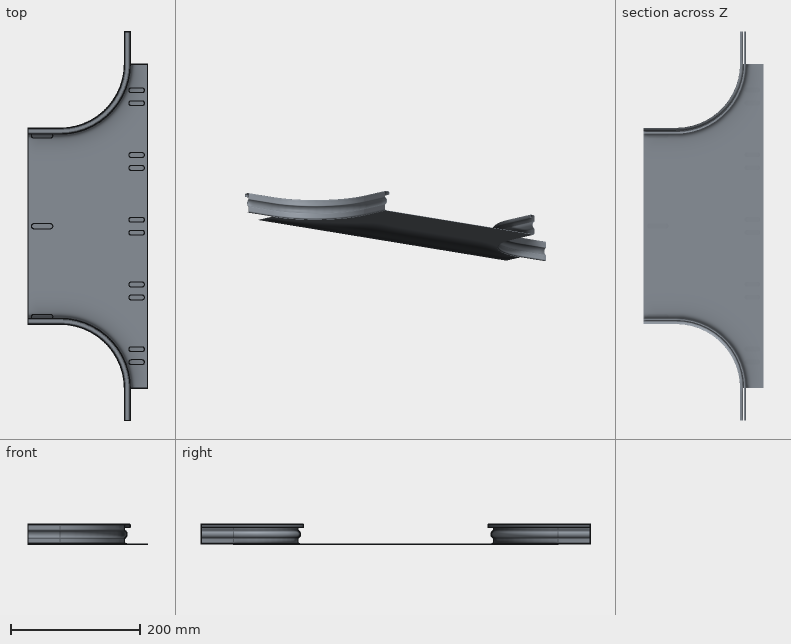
import cadquery as cq
import math

plate_depth = 185.0
overall_length = 601.0
overall_height = 31.1
sheet = 0.6
rail_bottom = sheet

straight_length = 50.0
bend_radius = 99.0
bend_x = straight_length
bend_y = overall_length / 2 - straight_length

flange_width = 3.0
rail_width = 9.3
corner_radius = 2.0
lip_bottom = 25.6
lip_return = 3.0
groove_depth = 3.8
groove_radius = 6.0
groove_edge_radius = 1.2
groove_z = 15.4
touching = 1e-6

slot_depth = sheet / 2
branch_slot_length = 33.0
branch_slot_width = 8.0
branch_slot_x = 22.0
branch_slot_pitch = 140.0
run_slot_length = 24.0
run_slot_width = 7.5
run_slot_x = 168.0
run_slot_gap = 20.0
run_pair_pitch = 100.0
run_pair_count = 5


def on_circle(center, radius, degrees):
    """Point on a circle in a direction given in degrees."""
    angle = math.radians(degrees)
    return (center[0] + radius * math.cos(angle), center[1] + radius * math.sin(angle))


def arc(center, radius, start, end):
    """Start, middle and end point of an arc between two directions in degrees."""
    return [on_circle(center, radius, degrees) for degrees in (start, (start + end) / 2, end)]


def rail_face(depth):
    """Arcs and end points of the rail skin lying at a depth below its outer face.

    Points are (distance from the bend axis, Z), from the floor flange up to the lip.
    """
    wall = bend_radius
    left = wall + corner_radius
    right = wall + rail_width - corner_radius
    low = rail_bottom + corner_radius
    curl = lip_bottom + corner_radius
    high = overall_height - corner_radius
    corner = corner_radius - depth

    groove_center = wall + groove_depth - groove_radius
    edge_center = wall + groove_edge_radius
    reach = groove_radius + groove_edge_radius
    touch = math.degrees(math.acos((edge_center - groove_center) / reach))
    edge_rise = reach * math.sin(math.radians(touch))
    groove = groove_radius + depth
    edge = groove_edge_radius - depth

    arcs = [
        arc((left, low), corner, 270, 180),
        arc((edge_center, groove_z - edge_rise), edge, 180, 180 - touch),
        arc((groove_center, groove_z), groove, -touch, touch),
        arc((edge_center, groove_z + edge_rise), edge, 180 + touch, 180),
        arc((left, high), corner, 180, 90),
        arc((right, high), corner, 90, 0),
        arc((right, curl), corner, 0, -90),
    ]
    flange_end = (wall + flange_width, rail_bottom + depth)
    lip_end = (wall + rail_width - lip_return, lip_bottom + depth)
    return flange_end, arcs, lip_end


def rail_section():
    """Closed outline of the bent sheet: up along the outer face, back along the inner one."""
    flange_end, outer_arcs, lip_end = rail_face(0)
    inner_flange_end, inner_arcs, inner_lip_end = rail_face(sheet)
    stretches = [[flange_end]] + outer_arcs + [[lip_end], [inner_lip_end]]
    stretches += [inner_arc[::-1] for inner_arc in reversed(inner_arcs)] + [[inner_flange_end]]

    outline = cq.Workplane("XZ").moveTo(*flange_end)
    for previous, stretch in zip(stretches, stretches[1:]):
        if math.dist(previous[-1], stretch[0]) > touching:
            outline = outline.lineTo(*stretch[0])
        if len(stretch) > 1:
            outline = outline.threePointArc(*stretch[1:])
    return outline.close()


def rail():
    """The rail on the +Y side: run stub, quarter bend and branch stub."""
    run_stub = rail_section().extrude(-straight_length)
    bend = rail_section().revolve(90, (0, 0, 0), (0, -1, 0))
    branch_stub = rail_section().extrude(straight_length).rotate((0, 0, 0), (0, 0, 1), -90)
    return run_stub.union(bend).union(branch_stub).translate((bend_x, bend_y, 0))


def plate():
    """Flat tee floor; its curved edges follow the start of the rails' flanges."""
    edge_radius = bend_radius + corner_radius
    edge_x = bend_x + edge_radius
    edge_y = bend_y - edge_radius
    diagonal = edge_radius * math.sqrt(0.5)
    return (
        cq.Workplane("XY")
        .moveTo(0, -edge_y)
        .lineTo(bend_x, -edge_y)
        .threePointArc((bend_x + diagonal, diagonal - bend_y), (edge_x, -bend_y))
        .lineTo(plate_depth, -bend_y)
        .lineTo(plate_depth, bend_y)
        .lineTo(edge_x, bend_y)
        .threePointArc((bend_x + diagonal, bend_y - diagonal), (bend_x, edge_y))
        .lineTo(0, edge_y)
        .close()
        .extrude(sheet)
    )


def slots(length, width, centers):
    """Cutters for slots lying along X, sunk from the upper face of the plate."""
    return (
        cq.Workplane("XY")
        .workplane(offset=sheet)
        .pushPoints(centers)
        .slot2D(length, width)
        .extrude(-slot_depth)
    )


branch_centers = [(branch_slot_x, row * branch_slot_pitch) for row in (-1, 0, 1)]
run_centers = []
for pair in range(run_pair_count):
    pair_y = (pair - (run_pair_count - 1) / 2) * run_pair_pitch
    for side in (-1, 1):
        run_centers.append((run_slot_x, pair_y + side * run_slot_gap / 2))

floor = plate()
floor = floor.cut(slots(branch_slot_length, branch_slot_width, branch_centers))
floor = floor.cut(slots(run_slot_length, run_slot_width, run_centers))

side_rail = rail()
result = floor.union(side_rail).union(side_rail.mirror("XZ"))